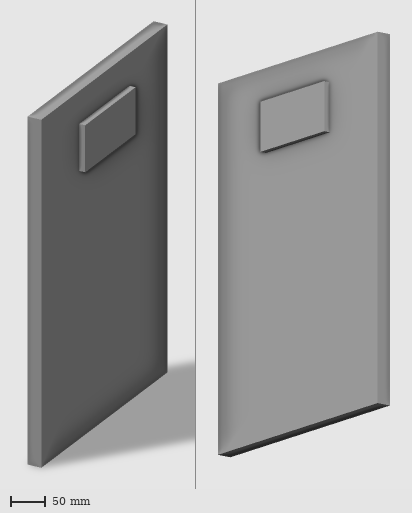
import cadquery as cq

panel_thickness = 23.0
panel_width = 375.0
panel_height = 557.5

pad_thickness = 10.0
pad_width = 150.0
pad_height = 75.0
pad_top_gap = 52.5

pad_bottom = panel_height - pad_top_gap - pad_height

panel = cq.Workplane("XY").box(
    panel_thickness, panel_width, panel_height, centered=(False, True, False)
)
pad = (
    cq.Workplane("XY")
    .box(pad_thickness, pad_width, pad_height, centered=(False, True, False))
    .translate((panel_thickness, 0, pad_bottom))
)

result = panel.union(pad)